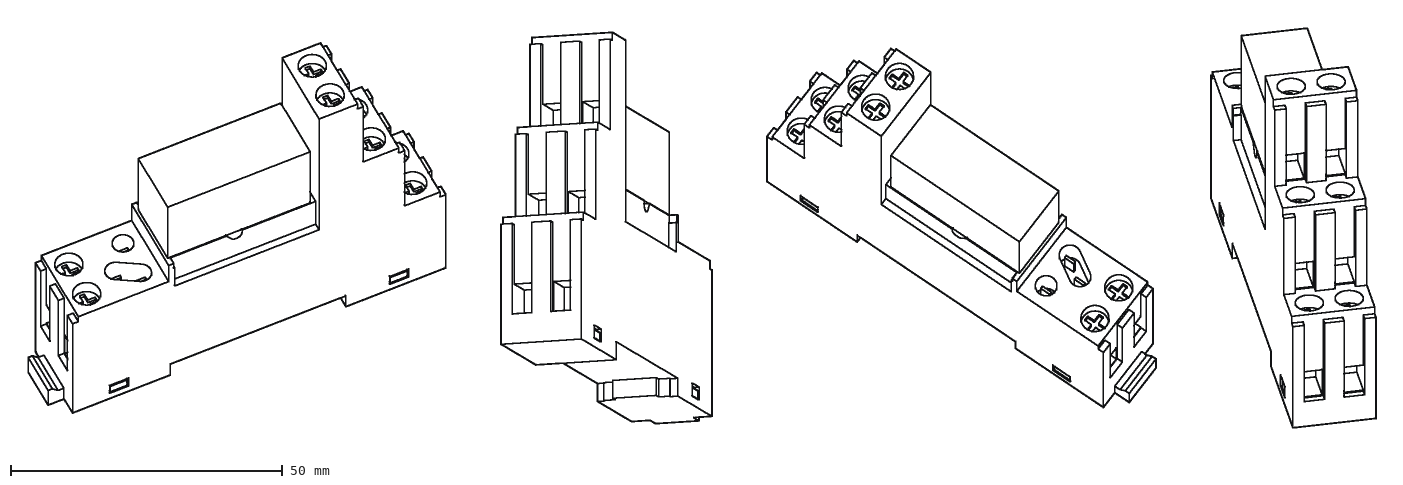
import cadquery as cq
import math


width = 15.6
body_length = 76.3
height = 61.0
tier_rise = 18.5
tier_pitch = 8.4
tier_count = 3
tower_length = 9.1
deck_height = 29.0
ledge_length = 1.2
ledge_drop = 1.5
tower_front = body_length - (tier_count - 1) * tier_pitch - tower_length

rail_front = 20.0
rail_back = 55.9
rail_depth = 3.35
guide_width = 12.7
guide_back = 20.45

wall_front = 19.7
wall_top = 33.9
seat_bottom = 26.9
seat_front = 20.9
seat_width = 12.7
notch_height = 1.5
notch_setback = 0.2
relay_width = 12.4
relay_front = 20.2
relay_back = 49.35
relay_top = 49.6

opening_radius = 1.2
opening_center_y = 34.15
opening_center_z = 33.2
opening_slope = math.radians(36)

terminal_x = 3.75
terminal_inset = 4.85
screw_diameter = 5.2
screw_depth = 2.8
cross_length = 4.0
cross_width = 0.95
cross_depth = 0.8

slot_width = 3.8
slot_length = tier_rise - ledge_drop
entry_height = 5.6
entry_depth = 6.0
entry_offset = 0.2

well_diameter = 4.0
well_depth = 6.4
well_y = 15.9
well_end_x = 1.35
well_end_y = 11.95
blade_width = 0.55
blade_length = 2.1
blade_drop = 2.3

clip_width = 8.4
clip_back = 21.9
clip_reach = 3.3
clip_nose_rise = 1.2
clip_nose_length = 0.9
clip_ramp_length = 1.2

window_inset = 9.55
window_length = 4.0
window_bottom = 1.7
window_ramp_bottom = 3.35
window_top = 4.05
window_depth = 0.2
window_top_depth = 0.95
window_gap = 0.2


def block(x_size, y_start, y_end, z_start, z_end, x_center=0):
    """Box centred on x_center and given by its Y and Z limits."""
    corner = (x_center - x_size / 2, y_start, z_start)
    return cq.Workplane("XY").box(x_size, y_end - y_start, z_end - z_start, centered=False).translate(corner)


def side_profile(points, x_size):
    """Closed (Y, Z) outline extruded evenly to both sides of X = 0."""
    return cq.Workplane("YZ").polyline(points).close().extrude(x_size / 2, both=True)


def tier_back(index):
    return body_length - index * tier_pitch


def tier_top(index):
    return height - (tier_count - 1 - index) * tier_rise


def make_body():
    outline = [
        (0, 0),
        (0, deck_height - ledge_drop),
        (ledge_length, deck_height - ledge_drop),
        (ledge_length, deck_height),
        (wall_front, deck_height),
        (wall_front, wall_top),
        (tower_front, wall_top),
        (tower_front, height),
    ]
    for index in reversed(range(tier_count)):
        back = tier_back(index)
        top = tier_top(index)
        ledge_front = back - ledge_length
        ledge_top = top - ledge_drop
        outline += [(ledge_front, top), (ledge_front, ledge_top), (back, ledge_top)]
        if index > 0:
            outline.append((back, tier_top(index - 1)))
    outline += [
        (body_length, 0),
        (rail_back, 0),
        (rail_back, rail_depth),
        (rail_front, rail_depth),
        (rail_front, 0),
    ]
    return side_profile(outline, width)


def seat_recesses():
    """Recesses along both sides of the seat, with a small notch at the top of their front end."""
    notch_bottom = wall_top - notch_height
    side_depth = (width - seat_width) / 2
    recess = block(side_depth, seat_front, tower_front, seat_bottom, wall_top)
    notch = block(side_depth, seat_front - notch_setback, seat_front, notch_bottom, wall_top)
    side = recess.union(notch)
    offset = (seat_width + side_depth) / 2
    return side.translate((offset, 0, 0)).union(side.translate((-offset, 0, 0)))


def relay_opening():
    """Opening through the seat: one upright side, a round bottom and one sloping side."""
    def on_arc(angle):
        return (
            opening_center_y + opening_radius * math.cos(angle),
            opening_center_z + opening_radius * math.sin(angle),
        )

    arc_end = on_arc(math.pi + opening_slope)
    slope_top_y = arc_end[0] - (wall_top - arc_end[1]) * math.tan(opening_slope)
    return (
        cq.Workplane("YZ")
        .moveTo(opening_center_y + opening_radius, wall_top)
        .lineTo(*on_arc(0))
        .threePointArc(on_arc(-math.pi / 2), arc_end)
        .lineTo(slope_top_y, wall_top)
        .close()
        .extrude(width / 2, both=True)
    )


def screw_well(x, y, top):
    """Round well with a cross recess in the screw head at its floor."""
    floor = top - screw_depth
    plane = cq.Workplane("XY", origin=(x, y, floor))
    well = plane.circle(screw_diameter / 2).extrude(screw_depth)
    arm_along_x = plane.rect(cross_length, cross_width).extrude(-cross_depth)
    arm_along_y = plane.rect(cross_width, cross_length).extrude(-cross_depth)
    return well.union(arm_along_x).union(arm_along_y)


def wire_slot(x, face_y, inward, top):
    """Upright slot in an end face with a deeper wire entry at its foot; inward is +1 or -1 along Y."""
    slot_bottom = top - ledge_drop - slot_length
    slot_back = face_y + inward * ledge_length
    entry_back = slot_back + inward * entry_depth
    entry_bottom = slot_bottom + entry_offset
    entry_x = x + math.copysign(entry_offset / 2, x)
    slot = block(slot_width, min(face_y, slot_back), max(face_y, slot_back), slot_bottom, top, x)
    entry = block(
        slot_width - entry_offset,
        min(face_y, entry_back),
        max(face_y, entry_back),
        entry_bottom,
        entry_bottom + entry_height,
        entry_x,
    )
    return slot.union(entry)


def deck_wells():
    """Round well and slanted long well in the front deck, with an upright blade at each position."""
    floor = deck_height - well_depth
    plane = cq.Workplane("XY", origin=(0, 0, floor))
    run_x = terminal_x - well_end_x
    run_y = well_y - well_end_y
    wells = plane.center(-terminal_x, well_y).circle(well_diameter / 2).extrude(well_depth)
    long_well_length = math.hypot(run_x, run_y) + well_diameter
    long_well_angle = math.degrees(math.atan2(run_y, run_x))
    long_well = (
        plane.center((terminal_x + well_end_x) / 2, (well_y + well_end_y) / 2)
        .slot2D(long_well_length, well_diameter, long_well_angle)
        .extrude(well_depth)
    )
    blade_places = [(-terminal_x, well_y), (terminal_x, well_y), (well_end_x, well_end_y)]
    blades = plane.pushPoints(blade_places).rect(blade_width, blade_length).extrude(well_depth - blade_drop)
    return wells.union(long_well).cut(blades)


def rail_clip():
    nose_top = rail_depth + clip_nose_rise
    nose_back = clip_nose_length - clip_reach
    outline = [
        (clip_back, 0),
        (clip_back, rail_depth),
        (nose_back + clip_ramp_length, rail_depth),
        (nose_back, nose_top),
        (-clip_reach, nose_top),
        (-clip_reach, 0),
    ]
    return side_profile(outline, clip_width)


def latch_window(y_center):
    """Window in both sides around a tongue that slopes inward at its top, with a deep gap at each end."""
    face = width / 2
    outline = [
        (face, window_bottom),
        (face - window_depth, window_bottom),
        (face - window_depth, window_ramp_bottom),
        (face - window_top_depth, window_top),
        (face, window_top),
    ]
    plane = cq.Workplane("XZ", origin=(0, y_center, 0))
    window = plane.polyline(outline).close().extrude(window_length / 2, both=True)
    gap_x = face - window_top_depth / 2
    for side in (-1, 1):
        outer_y = y_center + side * window_length / 2
        inner_y = outer_y - side * window_gap
        gap_limits = (min(outer_y, inner_y), max(outer_y, inner_y))
        window = window.union(block(window_top_depth, *gap_limits, window_bottom, window_top, gap_x))
    return window.union(window.mirror("YZ"))


result = make_body().cut(seat_recesses())
result = result.union(block(relay_width, relay_front, relay_back, wall_top, relay_top))
result = result.cut(relay_opening())
for x in (-terminal_x, terminal_x):
    result = result.cut(screw_well(x, terminal_inset, deck_height))
    result = result.cut(wire_slot(x, 0, 1, deck_height))
    for index in range(tier_count):
        result = result.cut(screw_well(x, tier_back(index) - terminal_inset, tier_top(index)))
        result = result.cut(wire_slot(x, tier_back(index), -1, tier_top(index)))
result = result.cut(deck_wells())
for y_center in (window_inset, body_length - window_inset):
    result = result.cut(latch_window(y_center))
result = result.union(block(guide_width, rail_front, guide_back, 0, rail_depth))
result = result.union(rail_clip())